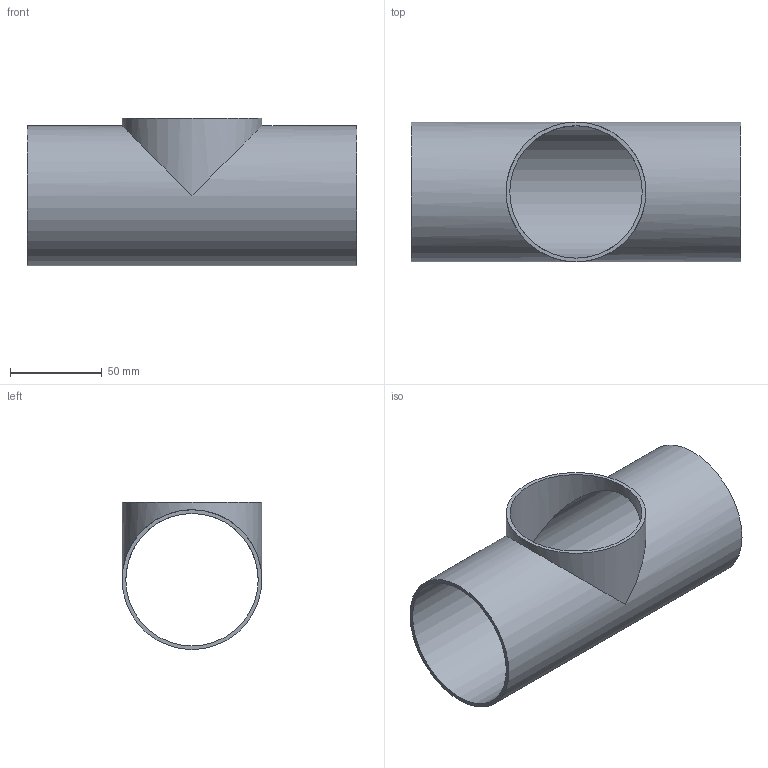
import cadquery as cq

outer_diameter = 76.3
wall_thickness = 2.0
run_length = 180.0
overall_height = 80.35

outer_radius = outer_diameter / 2
bore_radius = outer_radius - wall_thickness
branch_height = overall_height - outer_radius


def tee_cylinders(radius):
    """Solid run and branch cylinders of one radius, joined where their axes cross."""
    run = cq.Workplane("YZ").circle(radius).extrude(run_length / 2, both=True)
    branch = cq.Workplane("XY").circle(radius).extrude(branch_height)
    return run.union(branch)


result = tee_cylinders(outer_radius).cut(tee_cylinders(bore_radius))